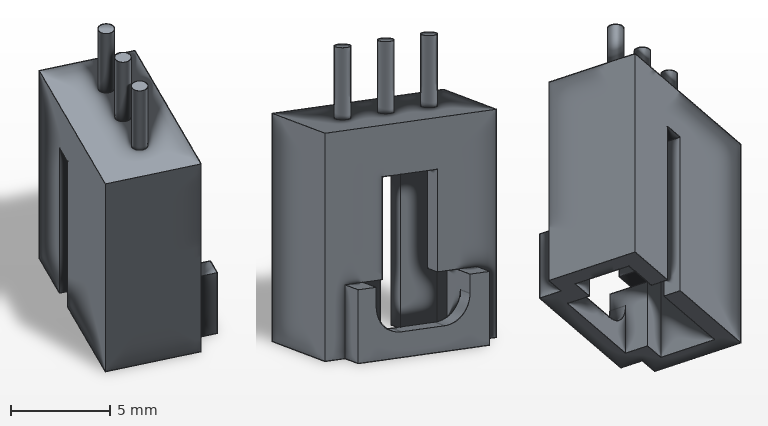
import cadquery as cq

body_width = 10.1
body_depth = 5.12
body_height = 11.82
wall = 0.96

front_slot_left = 3.11
front_slot_width = 1.2
cavity_height = 9.15

pin_count = 3
pin_pitch = 2.55
pin_diameter = 0.84
pin_length = 3.73
pin_y = 2.7

window_left = 2.33
window_right = 7.87
window_height = 3.83
window_width = window_right - window_left
window_center = (window_left + window_right) / 2
back_slot_left = 3.48
back_slot_width = 2 * (window_center - back_slot_left)

guard_left = 1.17
guard_right = 8.93
guard_reach = 1.28
bar_height = 1.34
bar_thickness = 0.93
bar_fillet = 1.5
back_y = body_depth + guard_reach


def box(x, y, z, width, depth, height):
    """Box placed by its left, front, bottom corner."""
    return cq.Workplane("XY").box(width, depth, height, centered=False).translate((x, y, z))


def make_housing():
    inner_width = body_width - 2 * wall
    inner_depth = body_depth - 2 * wall
    back_wall_y = body_depth - wall
    housing = box(0, 0, 0, body_width, body_depth, body_height)
    housing = housing.cut(box(wall, wall, 0, inner_width, inner_depth, cavity_height))
    housing = housing.cut(box(front_slot_left, 0, 0, front_slot_width, wall, cavity_height))
    housing = housing.cut(box(window_left, back_wall_y, 0, window_width, wall, window_height))
    return housing.cut(box(back_slot_left, back_wall_y, 0, back_slot_width, wall, cavity_height))


def make_pins():
    middle = (pin_count - 1) / 2
    centers = [(body_width / 2 + (i - middle) * pin_pitch, pin_y) for i in range(pin_count)]
    return (
        cq.Workplane("XY")
        .workplane(offset=body_height)
        .pushPoints(centers)
        .circle(pin_diameter / 2)
        .extrude(pin_length)
    )


def make_guard():
    left_post = box(guard_left, body_depth, 0, window_left - guard_left, guard_reach, window_height)
    right_post = box(window_right, body_depth, 0, guard_right - window_right, guard_reach, window_height)
    fillet_top = bar_height + bar_fillet
    bar = (
        cq.Workplane("XZ", origin=(0, back_y, 0))
        .moveTo(window_left, 0)
        .lineTo(window_right, 0)
        .lineTo(window_right, fillet_top)
        .radiusArc((window_right - bar_fillet, bar_height), bar_fillet)
        .lineTo(window_left + bar_fillet, bar_height)
        .radiusArc((window_left, fillet_top), bar_fillet)
        .close()
        .extrude(bar_thickness)
    )
    return left_post.union(bar).union(right_post)


result = make_housing().union(make_pins()).union(make_guard())